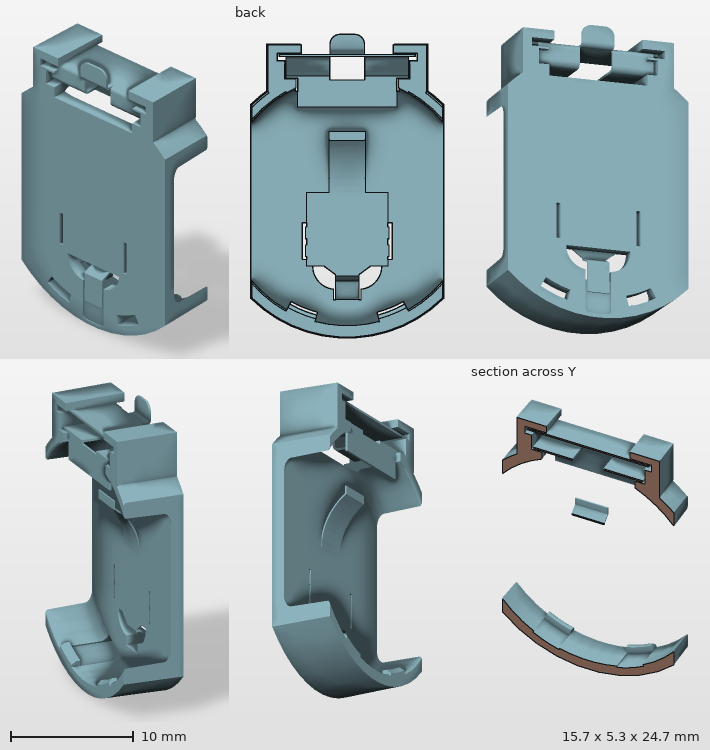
import cadquery as cq
import math


DEPTH = 5.3
WIDTH = 15.7
HALF_WIDTH = WIDTH / 2
DRAFT_ANGLE = 1.0
DRAFT = DEPTH * math.tan(math.radians(DRAFT_ANGLE))
OUTER_RADIUS = 11.12
CENTRE_Z = OUTER_RADIUS
POST_HALF_WIDTH = 6.55
POST_TOP = 23.92
SHOULDER_CHAMFER = 0.15
SHOULDER_OVERCUT = 0.25

FLOOR = 1.09
CAVITY_RADIUS = 10.1
CAVITY_FILLET = 0.67
RIM_CHAMFER = 0.12
RIM_CHAMFER_END_ANGLE = 55.0

GAP_HALF_WIDTH = 3.83
SLOT_HALF_WIDTH = 5.78
SLOT_BOTTOM = 22.45
SLOT_TOP = 23.15
THROAT_HALF_WIDTH = 5.16
THROAT_BOTTOM = 21.0
MOUTH_HALF_WIDTH = 4.25
MOUTH_BOTTOM = 20.06
LIP_INNER_X = 4.3
LIP_HEIGHT = 0.17
LIP_DEPTH = 0.52

EAR_SLOT_INNER_X = 3.3
EAR_SLOT_WIDTH = 0.35
EAR_SLOT_BOTTOM = 6.4
EAR_SLOT_HEIGHT = 2.97
WINDOW_HALF_WIDTH = 2.8
WINDOW_TOP = 5.85
WINDOW_HEIGHT = 1.88
WINDOW_CORNER = 1.85
NOTCH_BOTTOM = 3.15
TAIL_CHANNEL_HALF_WIDTH = 1.1
TAIL_CHANNEL_WALL = 0.35
TAIL_CHANNEL_CORNER = 0.3
HOOK_START_ANGLE = 15.0
HOOK_END_ANGLE = 29.2
HOOK_SLOT_INNER_RADIUS = 9.35
HOOK_SLOT_OUTER_RADIUS = 10.25
HOOK_INNER_RADIUS = 9.56
HOOK_TIP_RADIUS = 9.88
HOOK_UNDERSIDE = 4.55
HOOK_LEAD_IN = 0.35

CLIP_SHEET = 0.2
CLIP_TOP = 23.08
CLIP_HALF_WIDTH = 5.54
CLIP_FRONT = 0.95
CLIP_BACK = 4.75
TAB_HALF_WIDTH = 1.4
TAB_TOP = 24.7
TAB_CORNER = 0.82
TAB_BEND = 0.4
FLANGE_HALF_WIDTH = 5.0
FLANGE_FRONT = 0.52
FLANGE_TOP_BEND = CLIP_FRONT - FLANGE_FRONT
FLANGE_FOOT_BEND = 0.5
LEG_BOTTOM = 21.13
REAR_PLATE_BACK = 4.9
REAR_PLATE_HALF_WIDTH = 4.03
REAR_PLATE_TOP = 21.0
REAR_PLATE_BOTTOM = 18.78

SPRING_SHEET = 0.12
PLATE_FRONT = FLOOR - SPRING_SHEET
PLATE_HALF_WIDTH = EAR_SLOT_INNER_X
PLATE_TOP = 11.85
EAR_OVERHANG = 0.1
EAR_HEIGHT = 0.96
EAR_BOTTOMS = (6.62, 8.08)
TAIL_HALF_WIDTH = 0.96
TAIL_BOTTOM = 2.13
TAIL_BEND_Z = 4.77
TAIL_BEND = 0.12
TAIL_RAMP_TOP = 5.16
TAPER_HALF_WIDTH = 1.9
TONGUE_HALF_WIDTH = 1.48
TONGUE_RADIUS = 5.2
TONGUE_ANGLE = 56.0
TONGUE_TIP = 16.8


def block(x0, x1, y0, y1, z0, z1):
    """Box between two opposite corners."""
    return cq.Workplane("XY").box(x1 - x0, y1 - y0, z1 - z0, centered=False).translate((x0, y0, z0))


def centred_block(half_width, y0, y1, z0, z1):
    return block(-half_width, half_width, y0, y1, z0, z1)


def front_sketch(y):
    """Plane facing -Y at the given depth; a negative extrusion runs toward +Y."""
    return cq.Workplane("XZ", origin=(0, y, 0))


def side_sketch(x):
    """Plane with local axes Y and Z at the given X; an extrusion runs toward +X."""
    return cq.Workplane("YZ", origin=(x, 0, 0))


def mirrored_pair(body):
    return body.union(body.mirror("YZ"))


def rim_height(x):
    """Distance above or below the centre where the outer circle has this X."""
    return math.sqrt(OUTER_RADIUS**2 - x**2)


def ring_segment(profile, start_angle, end_angle):
    """Profile of (radius, Y) points swept about the cell axis, angles measured from straight down."""
    return (
        cq.Workplane("XY")
        .polyline(profile)
        .close()
        .revolve(end_angle - start_angle, (0, 0, 0), (0, 1, 0))
        .rotate((0, 0, 0), (0, 1, 0), 90 - end_angle)
        .translate((0, 0, CENTRE_Z))
    )




def housing_blank():
    """Tapered outline: round lower end, straight sides, round shoulders, square posts."""
    side_low = CENTRE_Z - rim_height(HALF_WIDTH)
    side_high = CENTRE_Z + rim_height(HALF_WIDTH)
    shoulder = CENTRE_Z + rim_height(POST_HALF_WIDTH)
    shoulder_mid_x = (HALF_WIDTH + POST_HALF_WIDTH) / 2
    shoulder_mid_z = CENTRE_Z + rim_height(shoulder_mid_x)
    return (
        front_sketch(0)
        .moveTo(-HALF_WIDTH, side_low)
        .threePointArc((0, 0), (HALF_WIDTH, side_low))
        .lineTo(HALF_WIDTH, side_high)
        .threePointArc((shoulder_mid_x, shoulder_mid_z), (POST_HALF_WIDTH, shoulder))
        .lineTo(POST_HALF_WIDTH, POST_TOP)
        .lineTo(-POST_HALF_WIDTH, POST_TOP)
        .lineTo(-POST_HALF_WIDTH, shoulder)
        .threePointArc((-shoulder_mid_x, shoulder_mid_z), (-HALF_WIDTH, side_high))
        .close()
        .extrude(-DEPTH, taper=DRAFT_ANGLE)
    )


def cavity():
    """Round pocket with a filleted floor."""
    side = FLOOR + CAVITY_FILLET
    diagonal = CAVITY_FILLET * math.sqrt(0.5)
    return (
        cq.Workplane("XY", origin=(0, 0, CENTRE_Z))
        .moveTo(0, FLOOR)
        .lineTo(CAVITY_RADIUS - CAVITY_FILLET, FLOOR)
        .threePointArc(
            (CAVITY_RADIUS - CAVITY_FILLET + diagonal, side - diagonal),
            (CAVITY_RADIUS, side),
        )
        .lineTo(CAVITY_RADIUS, DEPTH)
        .lineTo(0, DEPTH)
        .close()
        .revolve(360, (0, 0, 0), (0, 1, 0))
    )


def rim_chamfers():
    """Chamfers on the four stretches of the cavity rim that end at the open sides."""
    profile = [
        (CAVITY_RADIUS, DEPTH - RIM_CHAMFER),
        (CAVITY_RADIUS + RIM_CHAMFER, DEPTH),
        (CAVITY_RADIUS, DEPTH),
    ]
    lower = mirrored_pair(ring_segment(profile, HOOK_END_ANGLE, RIM_CHAMFER_END_ANGLE))
    return lower.union(lower.mirror("XY", (0, 0, CENTRE_Z)))


def shoulder_chamfer():
    """Chamfer along the rear edge of one round shoulder."""
    rear_radius = OUTER_RADIUS - DRAFT
    start_angle = 180 - math.degrees(math.asin((HALF_WIDTH + SHOULDER_OVERCUT) / OUTER_RADIUS))
    end_angle = 180 - math.degrees(math.asin((POST_HALF_WIDTH - DRAFT) / rear_radius))
    profile = [
        (rear_radius - SHOULDER_CHAMFER, DEPTH),
        (rear_radius, DEPTH - SHOULDER_CHAMFER),
        (OUTER_RADIUS, DEPTH - SHOULDER_CHAMFER),
        (OUTER_RADIUS, DEPTH),
    ]
    return ring_segment(profile, start_angle, end_angle)


def opening_outline(half_width, bottom, top):
    return [(-half_width, bottom), (half_width, bottom), (half_width, top), (-half_width, top)]


def drafted_opening(half_width, bottom, top):
    """Opening through the full depth whose sides and bottom close in toward the rear."""
    return (
        front_sketch(0)
        .polyline(opening_outline(half_width, bottom, top))
        .close()
        .workplane(offset=-DEPTH)
        .polyline(opening_outline(half_width - DRAFT, bottom + DRAFT, top))
        .close()
        .loft(ruled=True)
    )


def lip():
    """Thin tongue at the front, reaching into the throat; the clip slot trims its upper face."""
    lip_bottom = SLOT_BOTTOM - LIP_HEIGHT
    return block(LIP_INNER_X, SLOT_HALF_WIDTH, 0, LIP_DEPTH, lip_bottom, SLOT_BOTTOM + DRAFT)


def cut_clip_opening(body):
    """Stepped opening between the posts: mouth, throat with its lips, clip slot and top gap."""
    return (
        body.cut(drafted_opening(MOUTH_HALF_WIDTH, MOUTH_BOTTOM, SLOT_TOP))
        .cut(drafted_opening(THROAT_HALF_WIDTH, THROAT_BOTTOM, SLOT_TOP))
        .union(mirrored_pair(lip()))
        .cut(drafted_opening(SLOT_HALF_WIDTH, SLOT_BOTTOM, SLOT_TOP))
        .cut(drafted_opening(GAP_HALF_WIDTH, SLOT_BOTTOM, TAB_TOP))
    )


def ear_slot():
    outer_x = EAR_SLOT_INNER_X + EAR_SLOT_WIDTH
    slot_top = EAR_SLOT_BOTTOM + EAR_SLOT_HEIGHT
    return block(EAR_SLOT_INNER_X, outer_x, 0, FLOOR, EAR_SLOT_BOTTOM, slot_top)


def spring_recess():
    """Recess for the spring plate, and above it room for the tongue until it clears the floor."""
    tongue_rise = math.sqrt(TONGUE_RADIUS**2 - (TONGUE_RADIUS - SPRING_SHEET) ** 2)
    plate_room = centred_block(PLATE_HALF_WIDTH, PLATE_FRONT, FLOOR, WINDOW_TOP, PLATE_TOP)
    tongue_room = centred_block(
        TONGUE_HALF_WIDTH, PLATE_FRONT, FLOOR, PLATE_TOP, PLATE_TOP + tongue_rise
    )
    return plate_room.union(tongue_room)


def tail_window():
    """Floor opening with two round lower corners, and a narrow notch below it."""
    window = centred_block(WINDOW_HALF_WIDTH, 0, FLOOR, WINDOW_TOP - WINDOW_HEIGHT, WINDOW_TOP)
    window = window.edges("|Y and <Z").fillet(WINDOW_CORNER)
    notch = centred_block(TAIL_CHANNEL_HALF_WIDTH, 0, FLOOR, NOTCH_BOTTOM, WINDOW_TOP)
    return window.union(notch)


def tail_channel():
    """Shallow channel in the outer face that takes the solder tail."""
    end_radius = OUTER_RADIUS - TAIL_CHANNEL_WALL
    end_corner = CENTRE_Z - math.sqrt(end_radius**2 - TAIL_CHANNEL_HALF_WIDTH**2)
    channel = (
        front_sketch(0)
        .moveTo(-TAIL_CHANNEL_HALF_WIDTH, NOTCH_BOTTOM)
        .lineTo(-TAIL_CHANNEL_HALF_WIDTH, end_corner)
        .threePointArc((0, TAIL_CHANNEL_WALL), (TAIL_CHANNEL_HALF_WIDTH, end_corner))
        .lineTo(TAIL_CHANNEL_HALF_WIDTH, NOTCH_BOTTOM)
        .close()
        .extrude(-SPRING_SHEET)
    )
    return channel.edges("|Y").edges("<Z").fillet(TAIL_CHANNEL_CORNER)


def hook_slot():
    """Curved slot through the floor, reaching up along the wall to one hook."""
    profile = [
        (HOOK_SLOT_INNER_RADIUS, 0),
        (HOOK_SLOT_OUTER_RADIUS, 0),
        (HOOK_SLOT_OUTER_RADIUS, HOOK_UNDERSIDE),
        (HOOK_SLOT_INNER_RADIUS, HOOK_UNDERSIDE),
    ]
    return ring_segment(profile, HOOK_START_ANGLE, HOOK_END_ANGLE)


def hook():
    """Snap hook on the wall with a sloping lead-in at the rear."""
    profile = [
        (HOOK_INNER_RADIUS, HOOK_UNDERSIDE),
        (HOOK_SLOT_OUTER_RADIUS, HOOK_UNDERSIDE),
        (HOOK_SLOT_OUTER_RADIUS, DEPTH),
        (HOOK_TIP_RADIUS, DEPTH),
        (HOOK_INNER_RADIUS, DEPTH - HOOK_LEAD_IN),
    ]
    return ring_segment(profile, HOOK_START_ANGLE, HOOK_END_ANGLE)


def make_housing():
    body = (
        housing_blank()
        .cut(mirrored_pair(shoulder_chamfer()))
        .cut(cavity())
        .cut(rim_chamfers())
    )
    return (
        cut_clip_opening(body)
        .cut(mirrored_pair(ear_slot()))
        .cut(spring_recess())
        .cut(tail_window())
        .cut(tail_channel())
        .cut(mirrored_pair(hook_slot()))
        .union(mirrored_pair(hook()))
    )




def clip_tab():
    """Middle strip of the sheet, bent up into a tab with round corners."""
    sheet_bottom = CLIP_TOP - CLIP_SHEET
    bend_top = sheet_bottom + TAB_BEND
    tab = (
        side_sketch(-TAB_HALF_WIDTH)
        .moveTo(CLIP_FRONT, sheet_bottom)
        .lineTo(TAB_BEND, sheet_bottom)
        .tangentArcPoint((0, bend_top), relative=False)
        .lineTo(0, TAB_TOP)
        .lineTo(CLIP_SHEET, TAB_TOP)
        .lineTo(CLIP_SHEET, bend_top)
        .tangentArcPoint((TAB_BEND, CLIP_TOP), relative=False)
        .lineTo(CLIP_FRONT, CLIP_TOP)
        .close()
        .extrude(2 * TAB_HALF_WIDTH)
    )
    return tab.edges("|Y and >Z").fillet(TAB_CORNER)


def clip_arm():
    """One arm: over the front edge, down the flange and back along the leg."""
    flange_back = FLANGE_FRONT + CLIP_SHEET
    bend_bottom = CLIP_TOP - FLANGE_TOP_BEND
    foot_top = LEG_BOTTOM + FLANGE_FOOT_BEND
    foot_back = FLANGE_FRONT + FLANGE_FOOT_BEND
    return (
        side_sketch(TAB_HALF_WIDTH)
        .moveTo(CLIP_BACK, CLIP_TOP)
        .lineTo(CLIP_FRONT, CLIP_TOP)
        .tangentArcPoint((FLANGE_FRONT, bend_bottom), relative=False)
        .lineTo(FLANGE_FRONT, foot_top)
        .tangentArcPoint((foot_back, LEG_BOTTOM), relative=False)
        .lineTo(REAR_PLATE_BACK, LEG_BOTTOM)
        .lineTo(REAR_PLATE_BACK, LEG_BOTTOM + CLIP_SHEET)
        .lineTo(foot_back, LEG_BOTTOM + CLIP_SHEET)
        .tangentArcPoint((flange_back, foot_top), relative=False)
        .lineTo(flange_back, bend_bottom)
        .tangentArcPoint((CLIP_FRONT, CLIP_TOP - CLIP_SHEET), relative=False)
        .lineTo(CLIP_BACK, CLIP_TOP - CLIP_SHEET)
        .close()
        .extrude(FLANGE_HALF_WIDTH - TAB_HALF_WIDTH)
    )


def make_clip_contact():
    rear_front = REAR_PLATE_BACK - CLIP_SHEET
    sheet = centred_block(CLIP_HALF_WIDTH, CLIP_FRONT, CLIP_BACK, CLIP_TOP - CLIP_SHEET, CLIP_TOP)
    rear_plate = centred_block(
        REAR_PLATE_HALF_WIDTH, rear_front, REAR_PLATE_BACK, REAR_PLATE_BOTTOM, REAR_PLATE_TOP
    )
    rear_riser = block(
        TAB_HALF_WIDTH, REAR_PLATE_HALF_WIDTH, rear_front, REAR_PLATE_BACK, REAR_PLATE_TOP, LEG_BOTTOM
    )
    return (
        sheet.union(clip_tab())
        .union(mirrored_pair(clip_arm()))
        .union(mirrored_pair(rear_riser))
        .union(rear_plate)
    )




def spring_plate():
    """Flat plate let into the floor, with two ears on each side over the floor slots."""
    plate = centred_block(PLATE_HALF_WIDTH, PLATE_FRONT, FLOOR, WINDOW_TOP, PLATE_TOP)
    ear_half_width = PLATE_HALF_WIDTH + EAR_OVERHANG
    for bottom in EAR_BOTTOMS:
        plate = plate.union(
            centred_block(ear_half_width, PLATE_FRONT, FLOOR, bottom, bottom + EAR_HEIGHT)
        )
    return plate


def spring_tongue():
    """Curved tongue that rises from the plate and ends in a short upright tip."""
    angle = math.radians(TONGUE_ANGLE)
    centre_y = PLATE_FRONT + TONGUE_RADIUS

    def arc_point(radius, a):
        return (centre_y - radius * math.cos(a), PLATE_TOP + radius * math.sin(a))

    inner_radius = TONGUE_RADIUS - SPRING_SHEET
    front_end = arc_point(TONGUE_RADIUS, angle)
    back_end = arc_point(inner_radius, angle)
    return (
        side_sketch(-TONGUE_HALF_WIDTH)
        .moveTo(PLATE_FRONT, PLATE_TOP)
        .threePointArc(arc_point(TONGUE_RADIUS, angle / 2), front_end)
        .lineTo(front_end[0], TONGUE_TIP)
        .lineTo(front_end[0] + SPRING_SHEET, TONGUE_TIP)
        .lineTo(front_end[0] + SPRING_SHEET, back_end[1])
        .lineTo(*back_end)
        .threePointArc(arc_point(inner_radius, angle / 2), (FLOOR, PLATE_TOP))
        .close()
        .extrude(2 * TONGUE_HALF_WIDTH)
    )


def spring_tail():
    """Tapered neck, ramp to the outer face and flat solder tail."""
    neck = (
        front_sketch(PLATE_FRONT)
        .moveTo(-TAPER_HALF_WIDTH, WINDOW_TOP)
        .lineTo(-TAIL_HALF_WIDTH, TAIL_RAMP_TOP)
        .lineTo(TAIL_HALF_WIDTH, TAIL_RAMP_TOP)
        .lineTo(TAPER_HALF_WIDTH, WINDOW_TOP)
        .close()
        .extrude(-SPRING_SHEET)
    )
    ramp_and_tail = (
        side_sketch(-TAIL_HALF_WIDTH)
        .moveTo(PLATE_FRONT, TAIL_RAMP_TOP)
        .lineTo(0, TAIL_BEND_Z)
        .lineTo(0, TAIL_BOTTOM)
        .lineTo(SPRING_SHEET, TAIL_BOTTOM)
        .lineTo(SPRING_SHEET, TAIL_BEND_Z - SPRING_SHEET)
        .lineTo(FLOOR, TAIL_RAMP_TOP - SPRING_SHEET)
        .lineTo(FLOOR, TAIL_RAMP_TOP)
        .close()
        .extrude(2 * TAIL_HALF_WIDTH)
    )
    bend_edge = ramp_and_tail.edges("|X").edges("<Y").edges(">Z")
    return neck.union(bend_edge.fillet(TAIL_BEND))


def make_spring_contact():
    return spring_plate().union(spring_tongue()).union(spring_tail())


housing = make_housing()
clip_contact = make_clip_contact()
spring_contact = make_spring_contact()

result = cq.Compound.makeCompound(
    [housing.solids().val(), clip_contact.solids().val(), spring_contact.solids().val()]
)